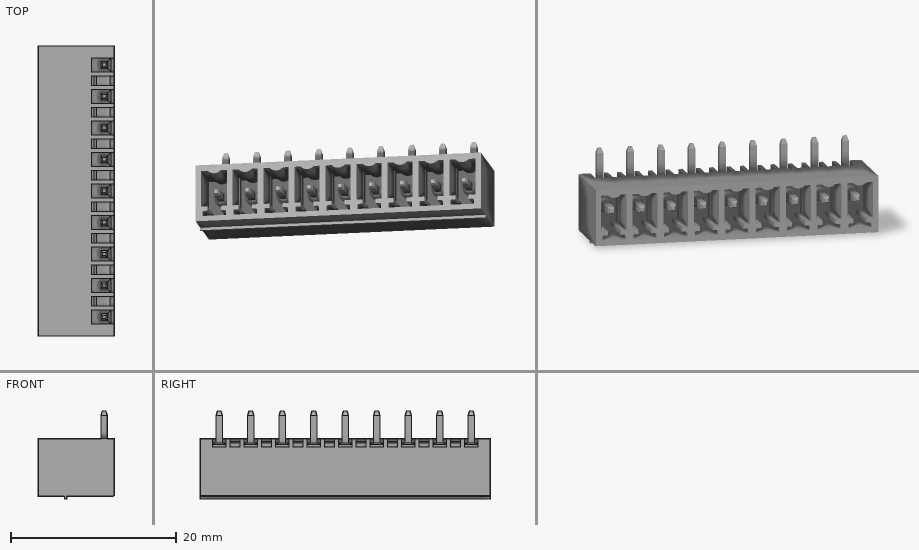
import cadquery as cq
import math


length = 35.1
depth = 9.2
height = 7.0
rear_chamfer = 0.15

ridge_x = 3.15
ridge_width = 0.3
ridge_height = 0.3

pin_count = 9
pitch = 3.81
pin_positions = [(i - (pin_count - 1) / 2) * pitch for i in range(pin_count)]
gap_positions = [y + pitch / 2 for y in pin_positions[:-1]]

pocket_depth = 5.5
mouth_depth = 4.2
pocket_top = 6.25
rail_top = 1.8
rail_bottom = 1.25
pocket_floor = 0.63
mouth_half_width = 1.55
inner_half_width = 1.45
end_half_width = 1.65
rail_half_gap = 0.8
foot_chamfer = 0.1
key_radius = 1.1

pin_width = 0.8
tip_width = 0.42
tip_length = 0.55
pin_axis_z = 3.95
mating_tip_x = 1.2
solder_pin_x = 7.95
solder_pin_height = 3.37

collar_diameter = 1.8
collar_height = 0.7
collar_chamfer = 0.25

recess_front = 6.45
recess_floor = height - 0.5
gap_ledge_x = 8.65
pin_ledge_x = 8.77
ledge_z = height - 1.0
pin_recess_width = 1.7
gap_recess_width = 1.15
shelf_length = 0.3
ramp_length = 0.28
ramp_drop = 0.15
chute_front = solder_pin_x + pin_width / 2
chute_drop = (pin_ledge_x - chute_front) * ramp_drop / ramp_length


def block(x0, x1, y0, y1, z0, z1):
    return cq.Workplane("XY").box(x1 - x0, y1 - y0, z1 - z0, centered=False).translate((x0, y0, z0))


def make_housing():
    body = block(0, depth, -length / 2, length / 2, 0, height)
    body = body.edges("|Y and >X and <Z").chamfer(rear_chamfer)
    ridge = block(ridge_x, ridge_x + ridge_width, -length / 2, length / 2, -ridge_height, 0)
    return body.union(ridge)


def pocket_layer(y, minus_half, plus_half, layer_depth):
    """Upper part of a pocket, with the round key left standing on its ceiling."""
    layer = block(0, layer_depth, y - minus_half, y + plus_half, rail_top, pocket_top)
    key = cq.Workplane("YZ").center(y, height).circle(key_radius).extrude(layer_depth)
    return layer.cut(key)


def make_pocket(y):
    minus_is_end = y == pin_positions[0]
    plus_is_end = y == pin_positions[-1]
    mouth = pocket_layer(
        y,
        end_half_width if minus_is_end else mouth_half_width,
        end_half_width if plus_is_end else mouth_half_width,
        mouth_depth,
    )
    inner = pocket_layer(
        y,
        end_half_width if minus_is_end else inner_half_width,
        end_half_width if plus_is_end else inner_half_width,
        pocket_depth,
    )
    neck = block(0, pocket_depth, y - rail_half_gap, y + rail_half_gap, pocket_floor, rail_top)
    foot = block(0, pocket_depth, y - inner_half_width, y + inner_half_width, pocket_floor, rail_bottom)
    foot = foot.edges("|X and >Z").chamfer(foot_chamfer)
    return mouth.union(inner).union(neck).union(foot)


def make_pin_recess(y):
    """Recess round a solder pin, with a flared chute down to the rear ledge."""
    half = pin_recess_width / 2
    recess = block(recess_front, depth, y - half, y + half, recess_floor, height)
    ledge = block(pin_ledge_x, depth, y - half, y + half, ledge_z, height)
    chute = (
        cq.Workplane("XY", origin=(0, y, recess_floor - chute_drop))
        .polyline([
            (chute_front, -pin_width / 2),
            (pin_ledge_x, -half),
            (pin_ledge_x, half),
            (chute_front, pin_width / 2),
        ])
        .close()
        .extrude(chute_drop)
    )
    under_chute = (
        cq.Workplane("XZ", origin=(0, y + half, 0))
        .polyline([
            (chute_front, recess_floor),
            (pin_ledge_x, recess_floor - chute_drop),
            (chute_front, recess_floor - chute_drop),
        ])
        .close()
        .extrude(pin_recess_width)
    )
    return recess.union(ledge).union(chute.cut(under_chute))


def make_gap_recess(y):
    """Recess between two pins: shelf, ramp, floor and rear ledge in one profile."""
    ramp_start = recess_front + shelf_length
    shelf_z = recess_floor + ramp_drop
    return (
        cq.Workplane("XZ", origin=(0, y + gap_recess_width / 2, 0))
        .polyline([
            (recess_front, height),
            (recess_front, shelf_z),
            (ramp_start, shelf_z),
            (ramp_start + ramp_length, recess_floor),
            (gap_ledge_x, recess_floor),
            (gap_ledge_x, ledge_z),
            (depth, ledge_z),
            (depth, height),
        ])
        .close()
        .extrude(gap_recess_width)
    )


def square_pin(pin_length):
    """Square pin standing on the XY plane with a pyramid tip."""
    shank_length = pin_length - tip_length
    shank = cq.Workplane("XY").rect(pin_width, pin_width).extrude(shank_length)
    taper = math.degrees(math.atan((pin_width - tip_width) / 2 / tip_length))
    tip = (
        cq.Workplane("XY", origin=(0, 0, shank_length))
        .rect(pin_width, pin_width)
        .extrude(tip_length, taper=taper)
    )
    return shank.union(tip)


def make_contact(y):
    """Bent contact: mating pin along -X and solder pin along +Z."""
    solder = square_pin(height + solder_pin_height - pin_axis_z)
    solder = solder.translate((solder_pin_x, y, pin_axis_z))
    mating = square_pin(solder_pin_x - mating_tip_x).rotate((0, 0, 0), (0, 1, 0), -90)
    mating = mating.translate((solder_pin_x, y, pin_axis_z))
    collar = (
        cq.Workplane("YZ", origin=(pocket_depth - collar_height, y, pin_axis_z))
        .circle(collar_diameter / 2)
        .extrude(collar_height)
        .faces("<X")
        .chamfer(collar_chamfer)
    )
    return solder.union(mating).union(collar)


result = make_housing()
for pin_y in pin_positions:
    result = result.cut(make_pocket(pin_y)).cut(make_pin_recess(pin_y))
for gap_y in gap_positions:
    result = result.cut(make_gap_recess(gap_y))
for pin_y in pin_positions:
    result = result.union(make_contact(pin_y))